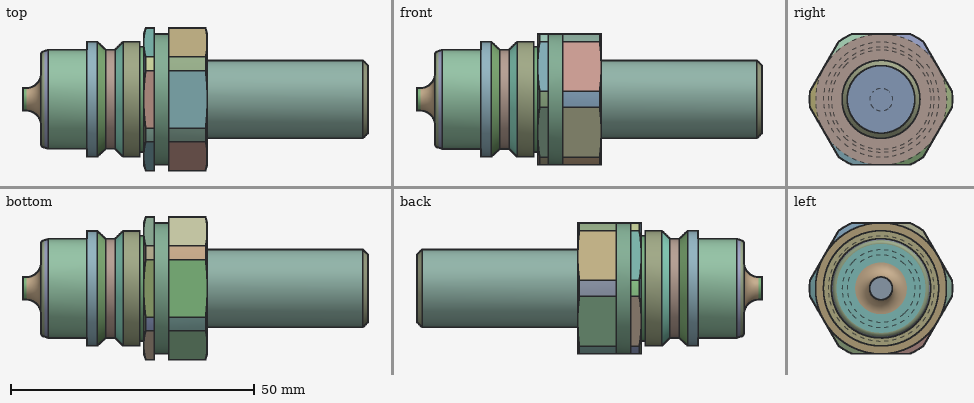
import cadquery as cq
import math

total_length = 71.0
tip_end = 0.7
nose_face = 3.7
rounding_end = 4.4
taper_end = 5.25
collar_start = 13.1
collar_rim_end = 15.3
groove_start = 17.05
groove_end = 18.95
shoulder_start = 20.6
shoulder_end = 24.1
flange_start = 24.85
flange_end = 27.05
nut_start = 29.95
nut_end = 37.9

tip_radius = 2.35
nose_face_radius = 9.15
rounding_radius = 9.95
body_radius = 10.2
collar_radius = 11.85
relief_radius = 10.85
shank_radius = 8.0

flat_distance = 27.0
corner_diameter = 29.5
flange_chamfer_length = 0.4
nut_chamfer_length = 0.35
nut_face_radius = 13.5
shank_chamfer_length = 1.1
shank_chamfer_height = 1.1


def turned_body():
    """Revolve the stepped plug, its concave tip and the rear shank about X."""
    fillet_radius = nose_face - tip_end
    fillet_root_radius = tip_radius + fillet_radius
    diagonal = fillet_radius * math.sqrt(0.5)
    fillet_middle = (tip_end + diagonal, fillet_root_radius - diagonal)
    rounding_middle = (
        nose_face + (rounding_end - nose_face) * (1 - math.sqrt(0.5)),
        nose_face_radius + (rounding_radius - nose_face_radius) * math.sqrt(0.5),
    )
    profile = (
        cq.Workplane("XY")
        .moveTo(0, 0)
        .lineTo(0, tip_radius)
        .lineTo(tip_end, tip_radius)
        .threePointArc(fillet_middle, (nose_face, fillet_root_radius))
        .lineTo(nose_face, nose_face_radius)
        .threePointArc(rounding_middle, (rounding_end, rounding_radius))
        .lineTo(taper_end, body_radius)
        .lineTo(collar_start, body_radius)
        .lineTo(collar_start, collar_radius)
        .lineTo(collar_rim_end, collar_radius)
        .lineTo(groove_start, body_radius)
        .lineTo(groove_end, body_radius)
        .lineTo(shoulder_start, collar_radius)
        .lineTo(shoulder_end, collar_radius)
        .lineTo(shoulder_end, relief_radius)
        .lineTo(flange_start, relief_radius)
        .lineTo(flange_start, flat_distance / 2)
        .lineTo(nut_end, flat_distance / 2)
        .lineTo(nut_end, shank_radius)
        .lineTo(total_length - shank_chamfer_length, shank_radius)
        .lineTo(total_length, shank_radius - shank_chamfer_height)
        .lineTo(total_length, 0)
        .close()
    )
    return profile.revolve(360, (0, 0, 0), (1, 0, 0))


def hexagon(start, end, front_chamfer, rear_chamfer):
    """Hexagonal section with flats facing +Z and -Z and optional turned chamfers."""
    prism = (
        cq.Workplane("YZ", origin=(start, 0, 0))
        .polygon(6, flat_distance / math.cos(math.pi / 6))
        .extrude(end - start)
    )
    corner_radius = corner_diameter / 2
    front_radius = flat_distance / 2 if front_chamfer else corner_radius
    rear_radius = nut_face_radius if rear_chamfer else corner_radius
    envelope_points = [(start, 0), (start, front_radius)]
    if front_chamfer:
        envelope_points.append((start + front_chamfer, corner_radius))
    if rear_chamfer:
        envelope_points.append((end - rear_chamfer, corner_radius))
    envelope_points += [(end, rear_radius), (end, 0)]
    envelope = (
        cq.Workplane("XY")
        .polyline(envelope_points)
        .close()
        .revolve(360, (0, 0, 0), (1, 0, 0))
    )
    return prism.intersect(envelope)


flange = hexagon(flange_start, flange_end, flange_chamfer_length, 0)
nut = hexagon(nut_start, nut_end, 0, nut_chamfer_length)
result = turned_body().union(flange).union(nut)